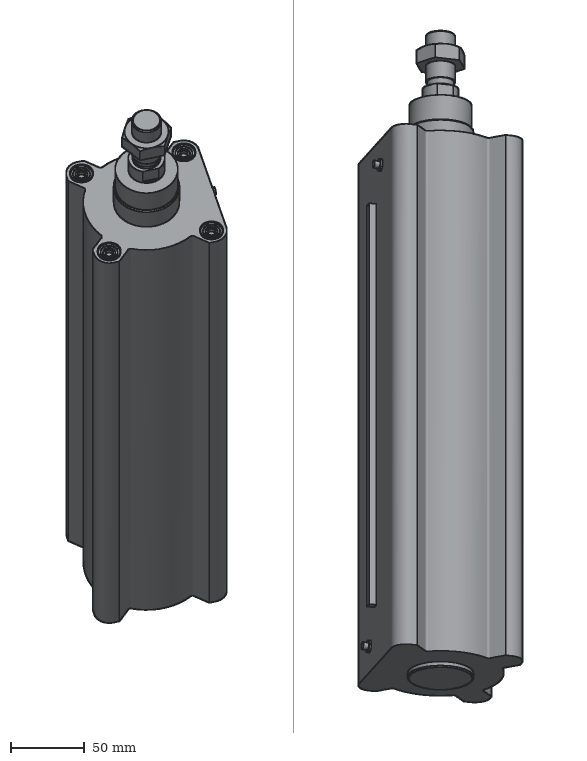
import cadquery as cq
import math

total_height = 467.5
spigot_height = 3.7
barrel_length = 378.5
barrel_bottom = spigot_height
barrel_top = barrel_bottom + barrel_length
collar_height = 16.5
gland_top = 416.0

barrel_width = 93.0
barrel_radius = 43.0
post_offset = 36.0
barrel_half_width = barrel_width / 2
post_radius = barrel_half_width - post_offset
post_flank_angle = 45.0
notch_fillet = 2.0

spigot_diameter = 45.0
gland_diameter = 42.5
rim_chamfer = 1.0

socket_steps = [(16.0, 0.5), (15.0, 1.0), (11.5, 1.5), (8.5, 2.0), (5.5, 4.5)]

total_depth = 98.0
fitting_height = total_depth - barrel_width
rail_width = 5.0
rail_end_gap = 43.5
nipple_diameter = 5.0
nipple_base_diameter = 8.5
nipple_base_height = 1.5
nipple_offset = 12.5
nipple_end_gap = 18.5

rod_diameter = 25.0
rod_top = 428.0
rod_flat_width = 22.0
rod_flat_bottom = 417.5
neck_diameter = 18.2
neck_height = 5.5
neck_foot_height = 1.5
neck_foot_flare = 0.5
thread_bottom = rod_top + neck_height
thread_diameter = 20.0
thread_chamfer = 1.0
rod_seat = barrel_top

nut_sides = 6
nut_width = 30.0
nut_bottom = 445.0
nut_height = 10.8
nut_chamfer_angle = 30.0


def cylinder(diameter, bottom, top):
    """Solid cylinder on the Z axis between two heights."""
    return cq.Workplane("XY").workplane(offset=bottom).circle(diameter / 2).extrude(top - bottom)


def corner_post(angle):
    """Corner post at +X+Y turned about Z: outer side round, flanks at 45 degrees to the flats."""
    flat_end = post_offset - post_radius * math.tan(math.radians(post_flank_angle / 2))
    arc_mid = post_offset + post_radius * math.cos(math.radians(post_flank_angle))
    return (
        cq.Workplane("XY")
        .workplane(offset=barrel_bottom)
        .moveTo(0, 0)
        .lineTo(flat_end - barrel_half_width / 2, barrel_half_width / 2)
        .lineTo(flat_end, barrel_half_width)
        .lineTo(post_offset, barrel_half_width)
        .threePointArc((arc_mid, arc_mid), (barrel_half_width, post_offset))
        .lineTo(barrel_half_width, flat_end)
        .lineTo(barrel_half_width / 2, flat_end - barrel_half_width / 2)
        .close()
        .extrude(barrel_length)
        .rotate((0, 0, 0), (0, 0, 1), angle)
    )


def make_barrel():
    """Round barrel with four corner posts and a flat +Y side."""
    barrel = cylinder(2 * barrel_radius, barrel_bottom, barrel_top)
    for quarter in range(4):
        barrel = barrel.union(corner_post(90 * quarter))
    flat_side = (
        cq.Workplane("XY")
        .workplane(offset=barrel_bottom)
        .rect(2 * post_offset, barrel_half_width)
        .extrude(barrel_length)
        .translate((0, barrel_half_width / 2, 0))
    )
    barrel = barrel.union(flat_side)
    notch_zone = cq.selectors.BoxSelector(
        (-barrel_radius, -barrel_radius, barrel_bottom),
        (barrel_radius, barrel_radius, barrel_top),
    )
    return barrel.edges("|Z").edges(notch_zone).fillet(notch_fillet)


def make_nipple(x, z):
    """Stepped round nipple standing on the flat +Y side."""
    plane = cq.Plane(origin=(x, barrel_half_width, z), xDir=(1, 0, 0), normal=(0, 1, 0))
    base = cq.Workplane(plane).circle(nipple_base_diameter / 2).extrude(nipple_base_height)
    return base.union(cq.Workplane(plane).circle(nipple_diameter / 2).extrude(fitting_height))


def make_rail():
    """Straight rail along the middle of the flat +Y side."""
    rail_length = barrel_length - 2 * rail_end_gap
    rail = cq.Workplane("XY").box(rail_width, fitting_height, rail_length, centered=(True, False, False))
    return rail.translate((0, barrel_half_width, barrel_bottom + rail_end_gap))


def make_sockets():
    """Stepped recesses to be cut into the top of the four corner posts."""
    sockets = cq.Workplane("XY")
    for diameter, depth in socket_steps:
        step = (
            cq.Workplane("XY")
            .workplane(offset=barrel_top - depth)
            .rect(2 * post_offset, 2 * post_offset, forConstruction=True)
            .vertices()
            .circle(diameter / 2)
            .extrude(depth)
        )
        sockets = sockets.union(step)
    return sockets


def make_housing():
    """Barrel with its end spigot, collar, gland and side fittings, bored for the rod."""
    spigot = cylinder(spigot_diameter, 0, barrel_bottom).faces("<Z").chamfer(rim_chamfer)
    collar = cylinder(spigot_diameter, barrel_top, barrel_top + collar_height)
    collar = collar.faces(">Z").chamfer(rim_chamfer)
    gland = cylinder(gland_diameter, barrel_top, gland_top)
    upper_nipple = make_nipple(-nipple_offset, barrel_top - nipple_end_gap)
    lower_nipple = make_nipple(nipple_offset, barrel_bottom + nipple_end_gap)

    housing = make_barrel()
    for feature in (spigot, collar, gland, make_rail(), upper_nipple, lower_nipple):
        housing = housing.union(feature)
    return housing.cut(make_sockets()).cut(cylinder(rod_diameter, rod_seat, gland_top))


def make_rod():
    """Piston rod with wrench flats, an undercut neck and a threaded end."""
    flat_zone = (
        cq.Workplane("XY")
        .workplane(offset=rod_flat_bottom)
        .rect(rod_flat_width, 2 * rod_diameter)
        .extrude(rod_top - rod_flat_bottom)
    )
    flatted_end = cylinder(rod_diameter, rod_flat_bottom, rod_top).intersect(flat_zone)
    rod = cylinder(rod_diameter, rod_seat, rod_flat_bottom).union(flatted_end)
    neck = cylinder(neck_diameter, rod_top, thread_bottom)
    neck_foot = (
        cq.Workplane("XY")
        .workplane(offset=rod_top)
        .circle(neck_diameter / 2 + neck_foot_flare)
        .workplane(offset=neck_foot_height)
        .circle(neck_diameter / 2)
        .loft()
    )
    rod = rod.union(neck).union(neck_foot)
    thread = cylinder(thread_diameter, thread_bottom, total_height)
    return rod.union(thread.faces(">Z").chamfer(thread_chamfer))


def make_nut():
    """Hexagon lock nut with a chamfered top, flats facing +X and -X."""
    half_sector = 180 / nut_sides
    corner_diameter = nut_width / math.cos(math.radians(half_sector))
    nut = (
        cq.Workplane("XY")
        .workplane(offset=nut_bottom)
        .polygon(nut_sides, corner_diameter)
        .extrude(nut_height)
        .rotate((0, 0, 0), (0, 0, 1), half_sector)
    )
    chamfer_reach = (corner_diameter - nut_width) / 2
    chamfer_drop = chamfer_reach * math.tan(math.radians(nut_chamfer_angle))
    blank = cylinder(corner_diameter, nut_bottom, nut_bottom + nut_height)
    blank = blank.faces(">Z").chamfer(chamfer_drop, chamfer_reach)
    return nut.intersect(blank).cut(cylinder(thread_diameter, nut_bottom, nut_bottom + nut_height))


housing = make_housing()
rod = make_rod()
nut = make_nut()

result = cq.Compound.makeCompound([housing.val(), rod.val(), nut.val()])